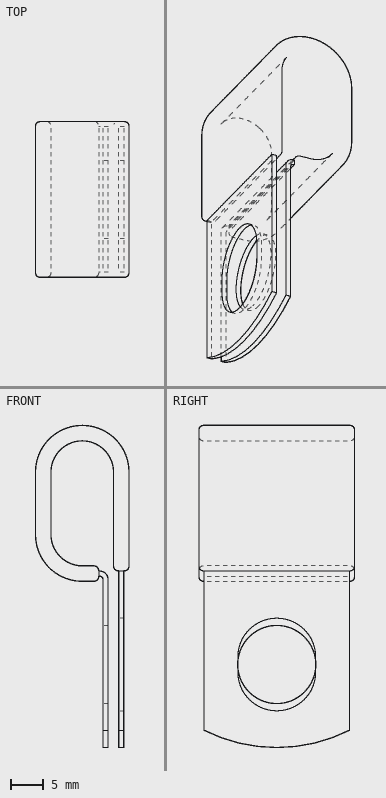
import cadquery as cq
import math


strap_thickness = 0.813
cushion_cover = 0.79375
cushion_edge_radius = 0.76
loop_inner_radius = 4.7625
loop_straight = 9.525
cushion_width = 23.8125
tab_gap = 1.5875
tab_bend_inner_radius = 0.508
bare_strap = 0.12
bolt_hole_diameter = 11.90625
bolt_hole_to_tip = 12.7
bolt_slot_travel = 2.25
tab_tip_radius = 24.6
overall_height = 49.23

cushion_thickness = strap_thickness + 2 * cushion_cover
strap_width = cushion_width - 2 * cushion_cover
loop_radius = loop_inner_radius + cushion_thickness / 2
loop_top = loop_inner_radius + cushion_thickness
tip_z = loop_top - overall_height
bolt_hole_z = tip_z + bolt_hole_to_tip

long_tab_x = loop_radius
bent_tab_x = long_tab_x - strap_thickness - tab_gap
tab_bend_radius = tab_bend_inner_radius + strap_thickness / 2
loop_bottom_z = -loop_straight - loop_radius
tab_bend_x = bent_tab_x - tab_bend_radius
cushion_end_x = tab_bend_x - bare_strap
tab_bend_end_z = loop_bottom_z - tab_bend_radius
cushion_end_z = -loop_straight - loop_inner_radius - cushion_cover

diagonal = math.sqrt(0.5)


def loop_path(start_z, end_x):
    """Centreline from the long tab, over the loop, to an end on the flat bottom run."""
    return (
        cq.Workplane("XZ")
        .moveTo(long_tab_x, start_z)
        .lineTo(loop_radius, 0)
        .threePointArc((0, loop_radius), (-loop_radius, 0))
        .lineTo(-loop_radius, -loop_straight)
        .threePointArc(
            (-loop_radius * diagonal, -loop_straight - loop_radius * diagonal),
            (0, loop_bottom_z),
        )
        .lineTo(end_x, loop_bottom_z)
    )


def sweep_band(path, start_z, thickness, width):
    """Sweep a rectangular section along a path that starts upward on the long tab."""
    section = cq.Workplane("XY", origin=(long_tab_x, 0, start_z)).rect(thickness, width)
    return section.sweep(path)


def make_cushion():
    """Rubber sleeve around the loop, with all its outer edges rounded."""
    path = loop_path(cushion_end_z, cushion_end_x)
    sleeve = sweep_band(path, cushion_end_z, cushion_thickness, cushion_width)
    side_edges = sleeve.faces("<Y or >Y").edges()
    long_end = cq.selectors.NearestToPointSelector((long_tab_x, 0, cushion_end_z))
    bent_end = cq.selectors.NearestToPointSelector((cushion_end_x, 0, loop_bottom_z))
    end_edges = sleeve.faces(long_end).edges("|Y").add(sleeve.faces(bent_end).edges("|Y"))
    return side_edges.add(end_edges).fillet(cushion_edge_radius)


def make_tab_outline():
    """Block with a curved lower end, used to trim the tips of both tabs."""
    tip_sagitta = tab_tip_radius - math.sqrt(tab_tip_radius**2 - (strap_width / 2) ** 2)
    half_width = strap_width / 2
    return (
        cq.Workplane("YZ", origin=(-loop_top, 0, 0))
        .moveTo(-half_width, loop_top)
        .lineTo(-half_width, tip_z + tip_sagitta)
        .threePointArc((0, tip_z), (half_width, tip_z + tip_sagitta))
        .lineTo(half_width, loop_top)
        .close()
        .extrude(2 * loop_top)
    )


def tab_cutter(tab_x):
    """Workplane at bolt height on the tab's -X face, facing +X."""
    return cq.Workplane("YZ", origin=(tab_x - strap_thickness / 2, 0, bolt_hole_z))


def make_bolt_hole():
    """Round hole through the bent tab."""
    return tab_cutter(bent_tab_x).circle(bolt_hole_diameter / 2).extrude(strap_thickness)


def make_bolt_slot():
    """Vertical slot through the long tab, leaving room to align the tabs."""
    slot_length = bolt_hole_diameter + bolt_slot_travel
    return tab_cutter(long_tab_x).slot2D(slot_length, bolt_hole_diameter, 90).extrude(strap_thickness)


def make_strap():
    """Bent metal strap with curved tips, a bolt hole in one tab and a slot in the other."""
    path = (
        loop_path(tip_z, tab_bend_x)
        .threePointArc(
            (
                tab_bend_x + tab_bend_radius * diagonal,
                tab_bend_end_z + tab_bend_radius * diagonal,
            ),
            (bent_tab_x, tab_bend_end_z),
        )
        .lineTo(bent_tab_x, tip_z)
    )
    band = sweep_band(path, tip_z, strap_thickness, strap_width)
    trimmed = band.intersect(make_tab_outline())
    return trimmed.cut(make_bolt_hole()).cut(make_bolt_slot())


result = make_cushion().union(make_strap())